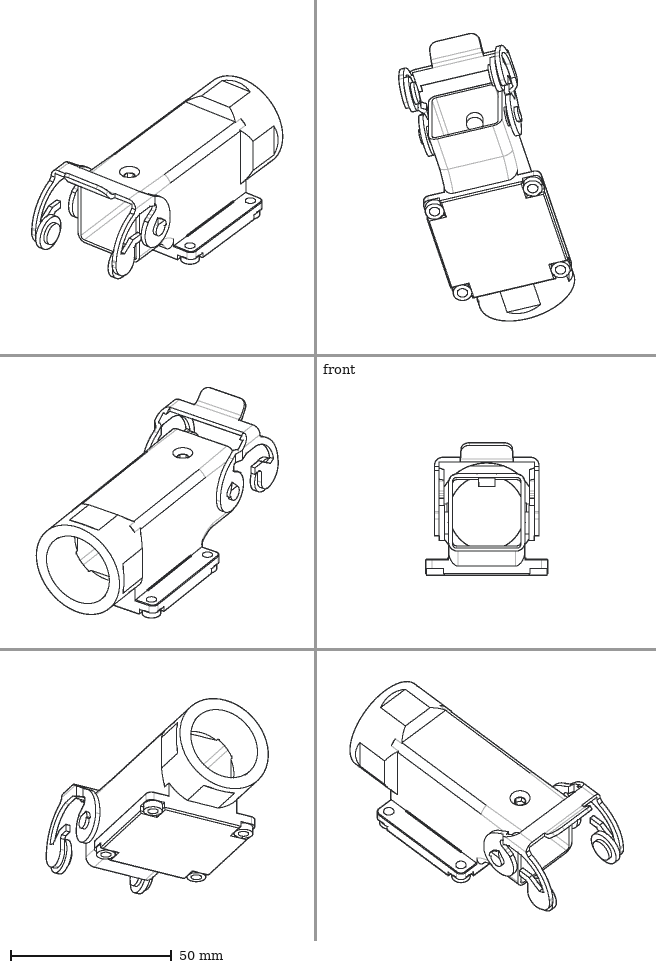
import cadquery as cq
import math


axis_z = 19.5
entry_radius = 15.5
bore_radius = 11.7
flat_distance = 14.5
flat_start = -3.5
flat_end = -14.4

body_half_width = 11.9
body_top = 31.65
body_rear = flat_end
body_front = -70.4
body_front_bottom = 7.5
rear_corner_size = 2.3
rear_corner_radius = 5.3
front_corner_size = 2.7
front_corner_radius = 2.7
body_blend_start = -54.1
body_bottom_radius = 2.9
neck_start = -58.5
neck_lip_z = 2.9
cavity_half_width = 10.6
cavity_bottom = 8.5
cavity_top = 30.5
cavity_radius = 1.2
cavity_draft = 0.7
cavity_rear = -15.1

base_size = 38.0
base_height = 5.05
base_corner_radius = 1.95
base_edge_chamfer = 0.3
base_front = body_rear - base_size
base_mid = body_rear - base_size / 2
foot_height = 2.2
foot_radius = 2.9
foot_notch = 5.6
base_hole_spacing = 31.7
base_hole_radius = 1.6
skirt_chamfer = 0.5
bead_length = 24.5
bead_height = 0.35

screw_y = -59.4
screw_radius = 2.6
screw_bottom = 27.7
countersink_radius = 3.1
countersink_depth = 1.5
hex_corner_diameter = 3.55
hex_depth = 1.8

pivot_y = -64.8
pivot_z = axis_z
pivot_lobe_radius = 6.6
pin_radius = 2.7
pin_shoulder_radius = 3.0
pin_shoulder_end = 12.4
pin_head_radius = 2.3
nose_radius = 3.0
nose_height = 3.7
nose_bevel_height = 2.1
pin_end = 16.0
sheet = 1.5
lever_half_width = 16.3
lever_top = 36.8
lever_bend_radius = 2.7
joggle_offset = 1.5
joggle_rear = -66.8
joggle_front = -68.3
bar_rear = -72.9
bar_front = -78.4
roller_y = -83.1
roller_z = 16.3
roller_radius = 5.5
roller_inner = 13.1
button_radius = 3.5
button_inner = 12.0
tab_half_width = 8.3
tab_tip_half_width = 7.9
tab_corner_radius = 2.7
tab_thickness = 1.2
overall_height = 41.3


def box(x0, x1, y0, y1, z0, z1):
    """Axis-aligned box between two opposite corners."""
    return cq.Workplane("XY").box(x1 - x0, y1 - y0, z1 - z0, centered=False).translate((x0, y0, z0))


def side_disc(y, z, radius, x0, x1):
    """Disc with its axis along X, between x0 and x1."""
    return cq.Workplane("YZ", origin=(x0, 0, 0)).center(y, z).circle(radius).extrude(x1 - x0)


def both_sides(shape):
    return shape.union(shape.mirror("YZ"))


def cable_entry():
    """Round sleeve with four flats, each sloping down to the body wall."""
    depth = 1.8
    slope_run = 3.55
    slope_drop = 3.2
    slope_end = flat_end - slope_run
    sleeve = cq.Workplane("XZ", origin=(0, 0, axis_z)).circle(entry_radius).extrude(-slope_end)
    cutter = (
        cq.Workplane("YZ", origin=(-entry_radius, 0, axis_z))
        .moveTo(flat_start + depth, flat_distance + depth)
        .lineTo(flat_start, flat_distance)
        .lineTo(flat_end, flat_distance)
        .lineTo(slope_end, flat_distance - slope_drop)
        .lineTo(slope_end, flat_distance + depth)
        .close()
        .extrude(2 * entry_radius)
    )
    for angle in (0, 90, 180, 270):
        sleeve = sleeve.cut(cutter.rotate((0, 0, axis_z), (0, 1, axis_z), angle))
    return sleeve


def body_section(y, corner_size, corner_radius):
    """Outline of the body at one station; its top corners are arcs over a square of corner_size."""
    x = body_half_width
    bottom_radius = body_bottom_radius
    return (
        cq.Workplane("XZ", origin=(0, y, 0))
        .moveTo(-x + bottom_radius, body_front_bottom)
        .lineTo(x - bottom_radius, body_front_bottom)
        .radiusArc((x, body_front_bottom + bottom_radius), -bottom_radius)
        .lineTo(x, body_top - corner_size)
        .radiusArc((x - corner_size, body_top), -corner_radius)
        .lineTo(-x + corner_size, body_top)
        .radiusArc((-x, body_top - corner_size), -corner_radius)
        .lineTo(-x, body_front_bottom + bottom_radius)
        .radiusArc((-x + bottom_radius, body_front_bottom), -bottom_radius)
        .close()
    )


def body():
    """Square tube with shallow top corners that turn round at the front; its rear runs into the base."""
    rear_length = body_rear - body_blend_start
    tube = body_section(body_rear, rear_corner_size, rear_corner_radius).extrude(rear_length)
    blend_rear = body_section(body_blend_start, rear_corner_size, rear_corner_radius).val()
    blend_front = body_section(body_front, front_corner_size, front_corner_radius).val()
    tube = tube.union(cq.Workplane(cq.Solid.makeLoft([blend_rear, blend_front], True)))
    neck = (
        cq.Workplane("YZ", origin=(-body_half_width, 0, 0))
        .moveTo(body_rear, foot_height)
        .lineTo(base_front, foot_height)
        .lineTo(base_front, neck_lip_z)
        .threePointArc((-54.8, 5.8), (neck_start, body_front_bottom))
        .lineTo(neck_start, body_front_bottom + body_bottom_radius)
        .lineTo(body_rear, axis_z)
        .close()
        .extrude(2 * body_half_width)
        .edges("%CIRCLE").fillet(body_bottom_radius)
    )
    return tube.union(neck)


def base():
    """Square flange on four round corner feet, with a bead beside each body wall."""
    plate = (
        box(-base_size / 2, base_size / 2, base_front, body_rear, foot_height, base_height)
        .edges("|Z").fillet(base_corner_radius)
        .faces(">Z").edges().chamfer(base_edge_chamfer)
    )
    inner = base_size - 2 * foot_notch
    center = cq.Workplane("XY", origin=(0, base_mid, 0))
    skirt = center.rect(base_size, inner).extrude(foot_height)
    skirt = skirt.union(center.rect(inner, base_size).extrude(foot_height))
    skirt = skirt.faces("<Z").edges().chamfer(skirt_chamfer)
    holes = center.rect(base_hole_spacing, base_hole_spacing, forConstruction=True).vertices()
    feet = holes.circle(foot_radius).extrude(foot_height)
    bead_half_width = body_half_width + bead_height
    bead = box(
        -bead_half_width, bead_half_width,
        base_mid - bead_length / 2, base_mid + bead_length / 2,
        foot_height, base_height + bead_height,
    )
    drills = holes.circle(base_hole_radius).extrude(base_height)
    return plate.union(skirt).union(feet).union(bead).cut(drills)


def cavity():
    """Square cavity for the insert, open at the front; its floor and ceiling close in toward the rear."""
    return (
        cq.Workplane("YZ", origin=(-cavity_half_width, 0, 0))
        .moveTo(body_front, cavity_bottom)
        .lineTo(body_front, cavity_top)
        .lineTo(cavity_rear, cavity_top - cavity_draft)
        .lineTo(cavity_rear, cavity_bottom + cavity_draft)
        .close()
        .extrude(2 * cavity_half_width)
        .faces("<X or >X").edges("not |Z").fillet(cavity_radius)
    )


def add_screw(shape):
    """Screw through the top wall with a conical recess and a blind hex socket."""
    screw = (
        cq.Workplane("XY", origin=(0, screw_y, screw_bottom))
        .circle(screw_radius)
        .extrude(body_top - screw_bottom)
    )
    recess = (
        cq.Workplane("XY", origin=(0, screw_y, body_top))
        .circle(countersink_radius)
        .workplane(offset=-countersink_depth)
        .circle(hex_corner_diameter / 2)
        .loft()
    )
    socket = (
        cq.Workplane("XY", origin=(0, screw_y, body_top - countersink_depth - hex_depth))
        .transformed(rotate=(0, 0, 90))
        .polygon(6, hex_corner_diameter)
        .extrude(hex_depth + countersink_depth)
    )
    return shape.union(screw).cut(recess).cut(socket)


def lever_silhouette():
    """Side outline of the lever, extruded across its whole width."""
    arm = (
        cq.Workplane("YZ", origin=(-lever_half_width, 0, 0))
        .moveTo(pivot_y + pivot_lobe_radius, pivot_z)
        .threePointArc((-60.0, 26.7), (-65.3, 31.4))
        .lineTo(bar_rear, lever_top)
        .lineTo(bar_front, lever_top)
        .lineTo(bar_front, 33.9)
        .lineTo(-79.35, 32.6)
        .threePointArc((-85.4, 28.0), (-88.6, 19.9))
        .threePointArc((-87.1, 14.3), (roller_y, 12.3))
        .threePointArc((-80.2, 13.5), (-79.1, roller_z))
        .lineTo(-79.1, 20.1)
        .lineTo(-78.2, 21.0)
        .lineTo(-75.45, 21.0)
        .lineTo(-75.45, 23.4)
        .lineTo(-79.7, 23.4)
        .lineTo(-84.1, 20.6)
        .lineTo(-86.0, 21.4)
        .threePointArc((-82.6, 27.7), (-76.1, 31.1))
        .lineTo(-70.75, 31.1)
        .lineTo(-66.85, 29.35)
        .threePointArc((-65.5, 28.0), (-66.2, 26.2))
        .lineTo(-69.9, 24.1)
        .lineTo(pivot_y, pivot_z)
        .close()
        .extrude(2 * lever_half_width)
    )
    return arm.union(side_disc(pivot_y, pivot_z, pivot_lobe_radius, -lever_half_width, lever_half_width))


def lever_sheet():
    """Bent sheet: a U channel in front whose legs step inward toward the pivot."""
    rear = pivot_y + pivot_lobe_radius + 0.9
    front = -88.7
    lobe_front = pivot_y - pivot_lobe_radius - 0.9
    notch_z = 27.5
    channel = (
        box(-lever_half_width, lever_half_width, front, joggle_front, 0, lever_top)
        .edges("|Y and >Z").fillet(lever_bend_radius)
    )
    inside_half_width = lever_half_width - sheet
    channel_inside = box(-inside_half_width, inside_half_width, front, joggle_front, 0, lever_top - sheet)
    panel_cut = box(
        -lever_half_width + lever_bend_radius, lever_half_width - lever_bend_radius,
        bar_rear, rear, lever_top - lever_bend_radius, lever_top,
    )
    lobe_clearance = box(-lever_half_width, lever_half_width, lobe_front, rear, 0, notch_z)
    outer_x = lever_half_width
    inner_x = lever_half_width - joggle_offset
    lobe_plate = box(inner_x - sheet, inner_x, lobe_front, rear, 0, notch_z)
    stepped_leg = (
        cq.Workplane("XY", origin=(0, 0, notch_z))
        .moveTo(inner_x, rear)
        .lineTo(inner_x, joggle_rear)
        .lineTo(outer_x, joggle_front)
        .lineTo(outer_x - sheet, joggle_front - sheet)
        .lineTo(outer_x - sheet, joggle_front)
        .lineTo(inner_x - sheet, joggle_rear - sheet / 2)
        .lineTo(inner_x - sheet, rear)
        .close()
        .extrude(lever_top - notch_z)
    )
    channel = channel.cut(channel_inside).cut(panel_cut).cut(lobe_clearance)
    return channel.union(both_sides(lobe_plate.union(stepped_leg)))


def lever_tab():
    """Finger tab bent upward from the front edge of the cross bar."""
    tip_y = -83.3
    bend_y = bar_front - 1.1
    bend_radius = 1.95
    rise = math.atan2(overall_height - lever_top, bend_y - tip_y)
    step_y = tab_thickness * math.sin(rise)
    step_z = tab_thickness * math.cos(rise)
    under_z = lever_top - sheet
    under_bend_y = bend_y - 1.0
    under_bend_z = under_z + 0.35
    overlap_y = bar_front + 0.9
    strip = (
        cq.Workplane("YZ", origin=(-tab_half_width, 0, 0))
        .moveTo(overlap_y, lever_top)
        .lineTo(bend_y, lever_top)
        .lineTo(tip_y, overall_height)
        .lineTo(tip_y - step_y, overall_height - step_z)
        .lineTo(under_bend_y, under_bend_z)
        .lineTo(bar_front, under_z)
        .lineTo(overlap_y, under_z)
        .close()
        .extrude(2 * tab_half_width)
    )
    for bend_edge in ((0, bend_y, lever_top), (0, under_bend_y, under_bend_z)):
        strip = strip.edges(cq.selectors.NearestToPointSelector(bend_edge)).fillet(bend_radius)
    plan = (
        cq.Workplane("XY")
        .moveTo(-tab_half_width, overlap_y)
        .lineTo(tab_half_width, overlap_y)
        .lineTo(tab_tip_half_width, tip_y - step_y)
        .lineTo(-tab_tip_half_width, tip_y - step_y)
        .close()
        .extrude(overall_height)
    )
    return strip.intersect(plan).faces("<Y").edges("not |X").fillet(tab_corner_radius)


def pivot_pin():
    """Pin on the +X side, with a shoulder at the body and a beveled cam nose on its outer end."""
    lever_face = lever_half_width - joggle_offset
    shank = side_disc(pivot_y, pivot_z, pin_radius, cavity_half_width, lever_face)
    shoulder = side_disc(pivot_y, pivot_z, pin_shoulder_radius, cavity_half_width, pin_shoulder_end)
    head = side_disc(pivot_y, pivot_z, pin_head_radius, lever_face, pin_end)
    nose = (
        cq.Workplane("YZ", origin=(lever_face, pivot_y, pivot_z))
        .lineTo(nose_radius, 0)
        .threePointArc((2.2, 2.1), (0.6, 3.1))
        .lineTo(0, nose_height)
        .lineTo(-2.0, 1.0)
        .close()
        .extrude(pin_end - lever_face)
    )
    bevel = (
        cq.Workplane("XZ", origin=(0, pivot_y + nose_radius, pivot_z))
        .moveTo(pin_end, nose_bevel_height)
        .lineTo(lever_face, nose_height)
        .lineTo(pin_end, nose_height)
        .close()
        .extrude(2 * nose_radius)
    )
    return shank.union(shoulder).union(head.union(nose).cut(bevel))


def lever():
    """Locking lever with its pivot pins and roller buttons."""
    roller = side_disc(roller_y, roller_z, roller_radius, roller_inner, lever_half_width - sheet)
    button = side_disc(roller_y, roller_z, button_radius, button_inner, roller_inner)
    shape = lever_sheet().intersect(lever_silhouette()).union(lever_tab())
    return shape.union(both_sides(pivot_pin())).union(both_sides(roller.union(button)))


bore = cq.Workplane("XZ", origin=(0, 0, axis_z)).circle(bore_radius).extrude(-cavity_rear + 0.9)
housing = body().union(cable_entry()).union(base()).cut(bore).cut(cavity())
result = add_screw(housing).union(lever())